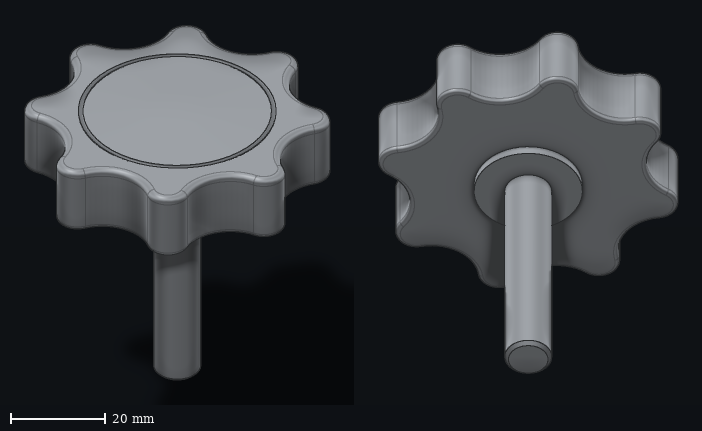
import cadquery as cq
import math

head_diameter = 65.0
head_height = 15.0
lobe_count = 8
lobe_radius = 4.5
scallop_radius = 10.0
top_fillet = 1.5
bottom_fillet = 1.0

cover_rise = 1.0
groove_center_radius = 20.5
groove_radius = 0.5
cover_radius = groove_center_radius - groove_radius

hub_diameter = 23.0
hub_height = 2.0

stud_diameter = 10.0
stud_exposed_length = 50.0
stud_embedded_length = 10.0
stud_chamfer = 0.8

hub_bottom = stud_exposed_length
head_bottom = hub_bottom + hub_height
head_top = head_bottom + head_height
stud_length = stud_exposed_length + stud_embedded_length

lobe_center_radius = head_diameter / 2 - lobe_radius
half_pitch = math.pi / lobe_count
center_spacing = lobe_radius + scallop_radius
scallop_center_radius = lobe_center_radius * math.cos(half_pitch) + math.sqrt(
    center_spacing**2 - (lobe_center_radius * math.sin(half_pitch)) ** 2
)
scallop_bottom_radius = scallop_center_radius - scallop_radius


def polar(radius, angle):
    return radius * math.cos(angle), radius * math.sin(angle)


def tangent_point(lobe_angle, side):
    """Point where a lobe meets the scallop on its side (+1 counterclockwise, -1 clockwise)."""
    lobe_x, lobe_y = polar(lobe_center_radius, lobe_angle)
    scallop_x, scallop_y = polar(scallop_center_radius, lobe_angle + side * half_pitch)
    share = lobe_radius / center_spacing
    return lobe_x + share * (scallop_x - lobe_x), lobe_y + share * (scallop_y - lobe_y)


def make_head():
    """Star-shaped grip with rounded lobes, concave scallops and filleted rims."""
    outline = cq.Workplane("XY").workplane(offset=head_bottom).moveTo(*tangent_point(0, -1))
    for index in range(lobe_count):
        angle = 2 * half_pitch * index
        lobe_tip = polar(head_diameter / 2, angle)
        scallop_bottom = polar(scallop_bottom_radius, angle + half_pitch)
        next_lobe_start = tangent_point(angle + 2 * half_pitch, -1)
        outline = outline.threePointArc(lobe_tip, tangent_point(angle, 1))
        outline = outline.threePointArc(scallop_bottom, next_lobe_start)
    head = outline.close().extrude(head_height)
    head = head.faces(">Z").edges().fillet(top_fillet)
    return head.faces("<Z").edges().fillet(bottom_fillet)


def make_cover():
    """Very flat cone that rises from the inner edge of the groove."""
    return (
        cq.Workplane("XZ")
        .moveTo(0, head_bottom + head_height / 2)
        .lineTo(cover_radius, head_bottom + head_height / 2)
        .lineTo(cover_radius, head_top)
        .lineTo(0, head_top + cover_rise)
        .close()
        .revolve(360, (0, 0, 0), (0, 1, 0))
    )


def make_groove():
    """Ring with a circular section that cuts a half-round groove."""
    return (
        cq.Workplane("XZ")
        .center(groove_center_radius, head_top)
        .circle(groove_radius)
        .revolve(360, (-groove_center_radius, 0, 0), (-groove_center_radius, 1, 0))
    )


def make_stud():
    """Plain round stud with a chamfered free end."""
    stud = cq.Workplane("XY").circle(stud_diameter / 2).extrude(stud_length)
    return stud.faces("<Z").chamfer(stud_chamfer)


def make_knob():
    """Head, cover and hub in one piece, with a blind bore for the stud."""
    hub = cq.Workplane("XY").workplane(offset=hub_bottom).circle(hub_diameter / 2)
    hub = hub.extrude(hub_height)
    bore = cq.Workplane("XY").workplane(offset=hub_bottom).circle(stud_diameter / 2)
    bore = bore.extrude(stud_embedded_length)
    return make_head().union(make_cover()).union(hub).cut(make_groove()).cut(bore)


knob = make_knob()
stud = make_stud()
result = cq.Compound.makeCompound([knob.val(), stud.val()])